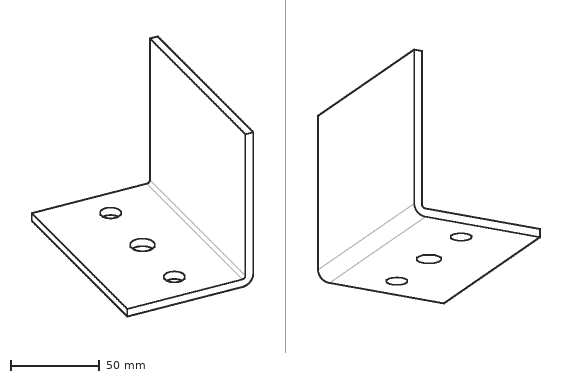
import cadquery as cq

length = 120.0
depth = 80.0
height = 100.0

thickness = 5.0
inner_bend_radius = 1.9
outer_bend_radius = inner_bend_radius + thickness

center_hole_diameter = 14.0
side_hole_diameter = 12.0
side_hole_offset = length / 3


def bent_sheet():
    """L-shaped sheet: base at the bottom, wall along the +Y edge."""
    base = cq.Workplane("XY").box(length, depth, thickness, centered=(True, True, False))
    wall = (
        cq.Workplane("XY")
        .box(length, thickness, height, centered=(True, True, False))
        .translate((0, (depth - thickness) / 2, 0))
    )
    sheet = base.union(wall)
    inner_edge = cq.selectors.NearestToPointSelector((0, depth / 2 - thickness, thickness))
    sheet = sheet.edges(inner_edge).fillet(inner_bend_radius)
    return sheet.faces(">Y").edges("<Z").fillet(outer_bend_radius)


def base_holes(diameter, x_positions):
    """Cylinders that pass through the base."""
    return (
        cq.Workplane("XY")
        .pushPoints([(x, 0) for x in x_positions])
        .circle(diameter / 2)
        .extrude(thickness)
    )


result = (
    bent_sheet()
    .cut(base_holes(center_hole_diameter, [0]))
    .cut(base_holes(side_hole_diameter, [-side_hole_offset, side_hole_offset]))
)